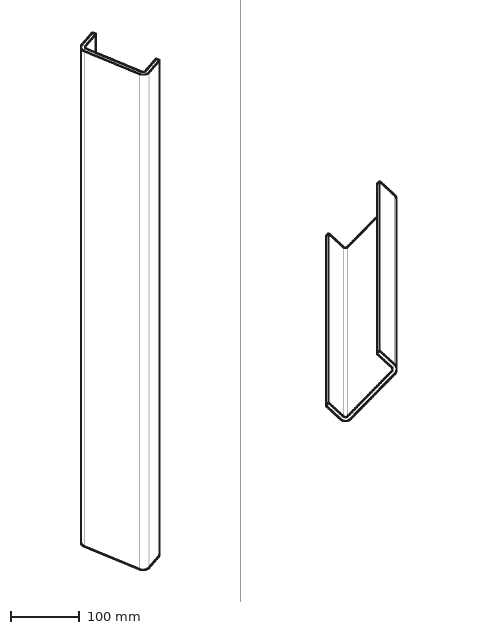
import cadquery as cq

length = 1000.0
width = 114.0
depth = 40.0

thickness = 6.0
inner_radius = 4.0
outer_radius = inner_radius + thickness


def rounded_block(block_width, front_y, back_y, radius):
    """Full-length block with its two front vertical edges rounded."""
    block = cq.Workplane("XY").box(block_width, back_y - front_y, length, centered=(True, False, False))
    return block.faces("<Y").edges("|Z").fillet(radius).translate((0, front_y, 0))


outside = rounded_block(width, 0, depth, outer_radius)
inside = rounded_block(width - 2 * thickness, thickness, depth, inner_radius)
result = outside.cut(inside)